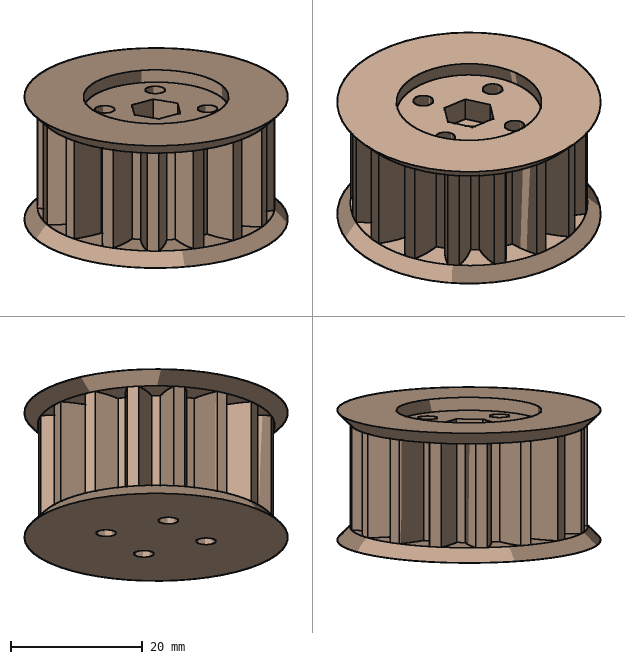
import cadquery as cq
import math

flange_diameter = 40.0
height = 20.0

flange_height = 2.0
tip_diameter = flange_diameter - 2 * flange_height
root_diameter = 27.0
tooth_count = 16
flank_radius = 14.4

pitch_angle = 360.0 / tooth_count
quarter_pitch = pitch_angle / 4
tip_half_angle = quarter_pitch / 2
root_start_angle = tip_half_angle + quarter_pitch

recess_diameter = 22.0
recess_depth = 2.0
recess_floor = height - recess_depth
bolt_diameter = 3.0
bolt_circle_diameter = 15.6
bolt_count = 4
bolt_start_angle = 25.0
hex_across_flats = 7.0
hex_across_corners = hex_across_flats / math.cos(math.pi / 6)
hex_depth = 3.5
hex_floor = recess_floor - hex_depth
bore_diameter = 4.0
bore_floor = flange_height
bore_depth = hex_floor - bore_floor


def polar(radius, degrees):
    angle = math.radians(degrees)
    return radius * math.cos(angle), radius * math.sin(angle)


def bulged_midpoint(start, end, radius):
    """Middle of the arc from start to end that bulges to the right of travel."""
    dx = end[0] - start[0]
    dy = end[1] - start[1]
    chord = math.hypot(dx, dy)
    sagitta = radius - math.sqrt(radius**2 - (chord / 2) ** 2)
    mid_x = (start[0] + end[0]) / 2 + sagitta * dy / chord
    mid_y = (start[1] + end[1]) / 2 - sagitta * dx / chord
    return mid_x, mid_y


def toothed_wheel():
    tip_radius = tip_diameter / 2
    root_radius = root_diameter / 2
    outline = cq.Workplane("XY").moveTo(*polar(root_radius, -root_start_angle))
    for tooth in range(tooth_count):
        center = tooth * pitch_angle
        root_in = polar(root_radius, center - root_start_angle)
        tip_in = polar(tip_radius, center - tip_half_angle)
        tip_out = polar(tip_radius, center + tip_half_angle)
        root_out = polar(root_radius, center + root_start_angle)
        next_root = polar(root_radius, center + pitch_angle - root_start_angle)
        outline = (
            outline.threePointArc(bulged_midpoint(root_in, tip_in, flank_radius), tip_in)
            .threePointArc(polar(tip_radius, center), tip_out)
            .threePointArc(bulged_midpoint(tip_out, root_out, flank_radius), root_out)
            .threePointArc(polar(root_radius, center + pitch_angle / 2), next_root)
        )
    return outline.close().extrude(height)


def bottom_flange():
    profile = [
        (0, 0),
        (flange_diameter / 2, 0),
        (tip_diameter / 2, flange_height),
        (0, flange_height),
    ]
    return cq.Workplane("XZ").polyline(profile).close().revolve(360, (0, 0), (0, 1))


def top_flange():
    return bottom_flange().mirror("XY").translate((0, 0, height))


def hub_recess():
    return cq.Workplane("XY").workplane(offset=recess_floor).circle(recess_diameter / 2).extrude(recess_depth)


def bolt_holes():
    return (
        cq.Workplane("XY")
        .polarArray(bolt_circle_diameter / 2, bolt_start_angle, 360, bolt_count)
        .circle(bolt_diameter / 2)
        .extrude(height)
    )


def hex_socket():
    return cq.Workplane("XY").workplane(offset=hex_floor).polygon(6, hex_across_corners).extrude(hex_depth)


def blind_bore():
    return (
        cq.Workplane("XY")
        .workplane(offset=bore_floor)
        .circle(bore_diameter / 2)
        .extrude(bore_depth)
    )


result = toothed_wheel().union(bottom_flange()).union(top_flange())
result = result.cut(hub_recess()).cut(bolt_holes()).cut(hex_socket()).cut(blind_bore())